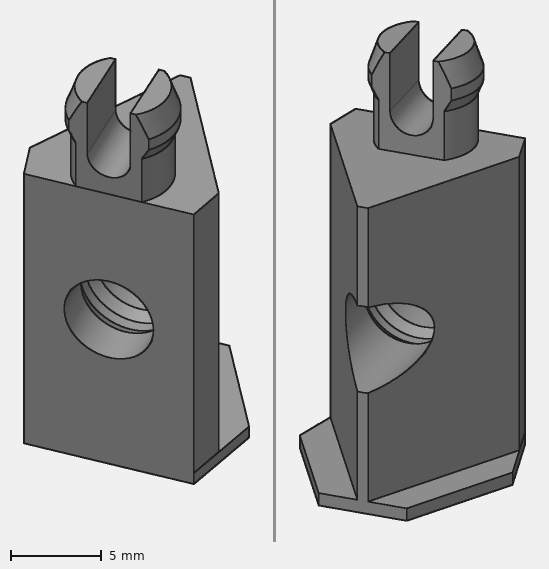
import cadquery as cq
import math

TOTAL_HEIGHT = 24.75
DEPTH = 11.5

BLOCK_HEIGHT = 18.75
FRONT_HALF_WIDTH = 5.05
BLOCK_HALF_WIDTH = 5.62
BLOCK_CORNER_Y = 2.33
BACK_ANGLE = 30.0

FLANGE_THICKNESS = 0.77
FLANGE_HALF_WIDTH = 6.34
FLANGE_CORNER_Y = 5.07

HOLE_RADIUS = 2.65
HOLE_Z = 10.05
GROOVE_RADIUS = 3.0
GROOVE_START_Y = 2.5
GROOVE_TAPER = 0.75
GROOVE_FLOOR_WIDTH = 0.75

CLIP_HEIGHT = TOTAL_HEIGHT - BLOCK_HEIGHT
CLIP_THICKNESS = 4.28
CLIP_CENTRE_Y = CLIP_THICKNESS / 2
SHANK_RADIUS = 2.9
BEAD_RADIUS = 3.2
TIP_RADIUS = 2.67
SHANK_TOP_DROP = 3.0
BEAD_BOTTOM_DROP = 2.25
BEAD_TOP_DROP = 1.5
SLOT_WIDTH = 2.57
SLOT_DEPTH = 4.8


def wedge_prism(half_width, corner_y, height):
    """Prism that widens from the front face to its corners, then narrows to a blunt back edge."""
    back_half_width = half_width - (DEPTH - corner_y) * math.tan(math.radians(BACK_ANGLE))
    right_side = [(FRONT_HALF_WIDTH, 0), (half_width, corner_y), (back_half_width, DEPTH)]
    left_side = [(-x, y) for x, y in reversed(right_side)]
    return cq.Workplane("XY").polyline(right_side + left_side).close().extrude(height)


def make_hole():
    """Cutter for the cross hole: a round bore that bulges out into the groove."""
    floor_start = GROOVE_START_Y + GROOVE_TAPER
    floor_end = floor_start + GROOVE_FLOOR_WIDTH
    half_section = [
        (0, 0),
        (HOLE_RADIUS, 0),
        (HOLE_RADIUS, GROOVE_START_Y),
        (GROOVE_RADIUS, floor_start),
        (GROOVE_RADIUS, floor_end),
        (HOLE_RADIUS, floor_end + GROOVE_TAPER),
        (HOLE_RADIUS, DEPTH),
        (0, DEPTH),
    ]
    bore = cq.Workplane("XY").polyline(half_section).close().revolve(360, (0, 0), (0, 1))
    return bore.translate((0, 0, HOLE_Z))


def make_block():
    column = wedge_prism(BLOCK_HALF_WIDTH, BLOCK_CORNER_Y, BLOCK_HEIGHT)
    flange = wedge_prism(FLANGE_HALF_WIDTH, FLANGE_CORNER_Y, FLANGE_THICKNESS)
    return column.union(flange).cut(make_hole())


def make_clip():
    half_section = [
        (0, 0),
        (SHANK_RADIUS, 0),
        (SHANK_RADIUS, CLIP_HEIGHT - SHANK_TOP_DROP),
        (BEAD_RADIUS, CLIP_HEIGHT - BEAD_BOTTOM_DROP),
        (BEAD_RADIUS, CLIP_HEIGHT - BEAD_TOP_DROP),
        (TIP_RADIUS, CLIP_HEIGHT),
        (0, CLIP_HEIGHT),
    ]
    peg = cq.Workplane("XZ").polyline(half_section).close().revolve(360, (0, 0), (0, 1))

    flats = cq.Workplane("XY").rect(2 * BEAD_RADIUS, CLIP_THICKNESS).extrude(CLIP_HEIGHT)

    slot_radius = SLOT_WIDTH / 2
    slot_bottom = CLIP_HEIGHT - SLOT_DEPTH
    slot = (
        cq.Workplane("XZ")
        .moveTo(-slot_radius, CLIP_HEIGHT)
        .lineTo(-slot_radius, slot_bottom + slot_radius)
        .threePointArc((0, slot_bottom), (slot_radius, slot_bottom + slot_radius))
        .lineTo(slot_radius, CLIP_HEIGHT)
        .close()
        .extrude(CLIP_THICKNESS, both=True)
    )
    return peg.intersect(flats).cut(slot).translate((0, CLIP_CENTRE_Y, BLOCK_HEIGHT))


block = make_block()
clip = make_clip()

result = cq.Compound.makeCompound([block.val(), clip.val()])